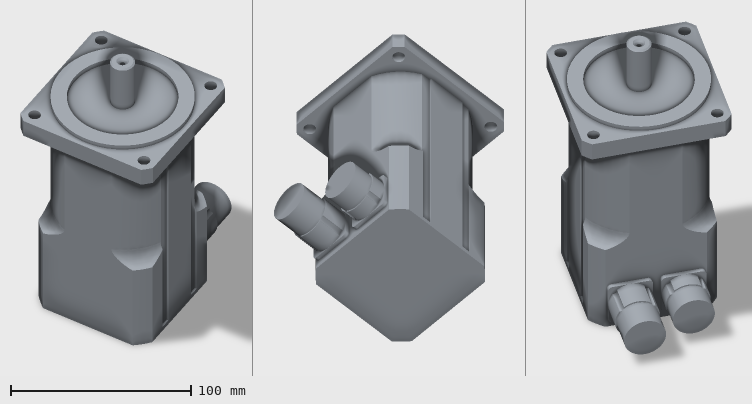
import cadquery as cq
import math

BODY_WIDTH = 74.0
BODY_HEIGHT = 131.0
CORNER_DIAMETER = 94.0
NECK_DIAMETER = 80.0
NECK_START = 66.2
SHOULDER_RADIUS = 10.0

GROOVE_INNER = 12.0
GROOVE_OUTER = 18.0
GROOVE_DEPTH = 1.2
GROOVE_START = 3.0

FLANGE_WIDTH = 86.0
FLANGE_THICKNESS = 11.2
FLANGE_CORNER_DIAMETER = 115.0
FLANGE_HOLE_DIAMETER = 7.0
FLANGE_HOLE_SPACING = 71.0
PILOT_DIAMETER = 80.0
PILOT_HEIGHT = 3.0
RECESS_DIAMETER = 62.0
RECESS_DEPTH = 3.5

TOTAL_HEIGHT = 172.0
SHAFT_DIAMETER = 14.0
SHAFT_CHAMFER_WIDTH = 1.0
SHAFT_CHAMFER_HEIGHT = 0.9
CENTRE_HOLE_DIAMETER = 2.8
CENTRE_CONE_DIAMETER = 6.9
CENTRE_CONE_ANGLE = 90.0
CENTRE_HOLE_DEPTH = 6.9

CONNECTOR_OFFSET = 15.3
CONNECTOR_Z = 17.9
PLATE_WIDTH = 25.8
PLATE_THICKNESS = 2.5
PLATE_CORNER_RADIUS = 2.5
COLLAR_DIAMETER = 25.8
BARREL_DIAMETER = 24.0
SCALLOP_DIAMETER = 4.5
SCALLOP_OFFSET = 10.0
SHORT_COLLAR_END = 11.4
SHORT_BARREL_END = 24.0
LONG_COLLAR_END = 17.7
LONG_BARREL_END = 34.0

FLANGE_TOP = BODY_HEIGHT + FLANGE_THICKNESS
PILOT_TOP = FLANGE_TOP + PILOT_HEIGHT
RECESS_FLOOR = PILOT_TOP - RECESS_DEPTH


def make_body():
    """Square block trimmed by a turned profile: wide corners, cove shoulder, narrow neck."""
    corner_radius = CORNER_DIAMETER / 2
    neck_radius = NECK_DIAMETER / 2
    cove_centre = neck_radius + SHOULDER_RADIUS
    cove_span = cove_centre - corner_radius
    cove_drop = math.sqrt(SHOULDER_RADIUS**2 - cove_span**2)
    half_angle = math.atan2(cove_drop, cove_span) / 2
    cove_middle = (
        cove_centre - SHOULDER_RADIUS * math.cos(half_angle),
        NECK_START - SHOULDER_RADIUS * math.sin(half_angle),
    )
    turned = (
        cq.Workplane("XZ")
        .lineTo(corner_radius, 0)
        .lineTo(corner_radius, NECK_START - cove_drop)
        .threePointArc(cove_middle, (neck_radius, NECK_START))
        .lineTo(neck_radius, BODY_HEIGHT)
        .lineTo(0, BODY_HEIGHT)
        .close()
        .revolve(360, (0, 0, 0), (0, 1, 0))
    )
    block = cq.Workplane("XY").rect(BODY_WIDTH, BODY_WIDTH).extrude(BODY_HEIGHT)
    return block.intersect(turned)


def make_grooves():
    """Two vertical grooves on each X face, running up to the flange."""
    return (
        cq.Workplane("XY", origin=(0, 0, GROOVE_START))
        .rarray(BODY_WIDTH, GROOVE_INNER + GROOVE_OUTER, 2, 2)
        .rect(2 * GROOVE_DEPTH, GROOVE_OUTER - GROOVE_INNER)
        .extrude(BODY_HEIGHT - GROOVE_START)
    )


def make_flange():
    """Square flange with turned corners, four holes and a recessed pilot ring."""
    plate = (
        cq.Workplane("XY", origin=(0, 0, BODY_HEIGHT))
        .rect(FLANGE_WIDTH, FLANGE_WIDTH)
        .extrude(FLANGE_THICKNESS)
    )
    corner_disc = (
        cq.Workplane("XY", origin=(0, 0, BODY_HEIGHT))
        .circle(FLANGE_CORNER_DIAMETER / 2)
        .extrude(FLANGE_THICKNESS)
    )
    pilot = cq.Workplane("XY", origin=(0, 0, FLANGE_TOP)).circle(PILOT_DIAMETER / 2).extrude(PILOT_HEIGHT)
    recess = cq.Workplane("XY", origin=(0, 0, RECESS_FLOOR)).circle(RECESS_DIAMETER / 2).extrude(RECESS_DEPTH)
    holes = (
        cq.Workplane("XY", origin=(0, 0, BODY_HEIGHT))
        .rarray(FLANGE_HOLE_SPACING, FLANGE_HOLE_SPACING, 2, 2)
        .circle(FLANGE_HOLE_DIAMETER / 2)
        .extrude(FLANGE_THICKNESS)
    )
    return plate.intersect(corner_disc).union(pilot).cut(recess).cut(holes)


def make_shaft():
    """Chamfered shaft with a countersunk centre hole, turned in one profile."""
    shaft_radius = SHAFT_DIAMETER / 2
    hole_radius = CENTRE_HOLE_DIAMETER / 2
    cone_radius = CENTRE_CONE_DIAMETER / 2
    cone_depth = (cone_radius - hole_radius) / math.tan(math.radians(CENTRE_CONE_ANGLE / 2))
    return (
        cq.Workplane("XZ")
        .moveTo(0, RECESS_FLOOR)
        .lineTo(shaft_radius, RECESS_FLOOR)
        .lineTo(shaft_radius, TOTAL_HEIGHT - SHAFT_CHAMFER_HEIGHT)
        .lineTo(shaft_radius - SHAFT_CHAMFER_WIDTH, TOTAL_HEIGHT)
        .lineTo(cone_radius, TOTAL_HEIGHT)
        .lineTo(hole_radius, TOTAL_HEIGHT - cone_depth)
        .lineTo(hole_radius, TOTAL_HEIGHT - CENTRE_HOLE_DEPTH)
        .lineTo(0, TOTAL_HEIGHT - CENTRE_HOLE_DEPTH)
        .close()
        .revolve(360, (0, 0, 0), (0, 1, 0))
    )


def make_motor():
    """Body, flange and shaft as one solid."""
    return make_body().cut(make_grooves()).union(make_flange()).union(make_shaft())


def make_connector(x, collar_end, barrel_end):
    """Mounting plate, scalloped collar and plain barrel, pointing out of the back face."""
    back_face = cq.Plane(origin=(x, BODY_WIDTH / 2, CONNECTOR_Z), xDir=(1, 0, 0), normal=(0, 1, 0))
    plate_face = cq.Plane(
        origin=(x, BODY_WIDTH / 2 + PLATE_THICKNESS, CONNECTOR_Z), xDir=(1, 0, 0), normal=(0, 1, 0)
    )
    plate = (
        cq.Workplane(back_face)
        .rect(PLATE_WIDTH, PLATE_WIDTH)
        .extrude(PLATE_THICKNESS)
        .edges("|Y")
        .fillet(PLATE_CORNER_RADIUS)
    )
    collar = cq.Workplane(plate_face).circle(COLLAR_DIAMETER / 2).extrude(collar_end - PLATE_THICKNESS)
    scallops = (
        cq.Workplane(plate_face)
        .rarray(2 * SCALLOP_OFFSET, 2 * SCALLOP_OFFSET, 2, 2)
        .circle(SCALLOP_DIAMETER / 2)
        .extrude(collar_end - PLATE_THICKNESS)
    )
    barrel = cq.Workplane(back_face).circle(BARREL_DIAMETER / 2).extrude(barrel_end)
    return collar.union(barrel).cut(scallops).union(plate)


motor = make_motor()

connectors = []
for x, collar_end, barrel_end in (
    (-CONNECTOR_OFFSET, SHORT_COLLAR_END, SHORT_BARREL_END),
    (CONNECTOR_OFFSET, LONG_COLLAR_END, LONG_BARREL_END),
):
    connectors.append(make_connector(x, collar_end, barrel_end).val())

result = cq.Compound.makeCompound([motor.val(), *connectors])